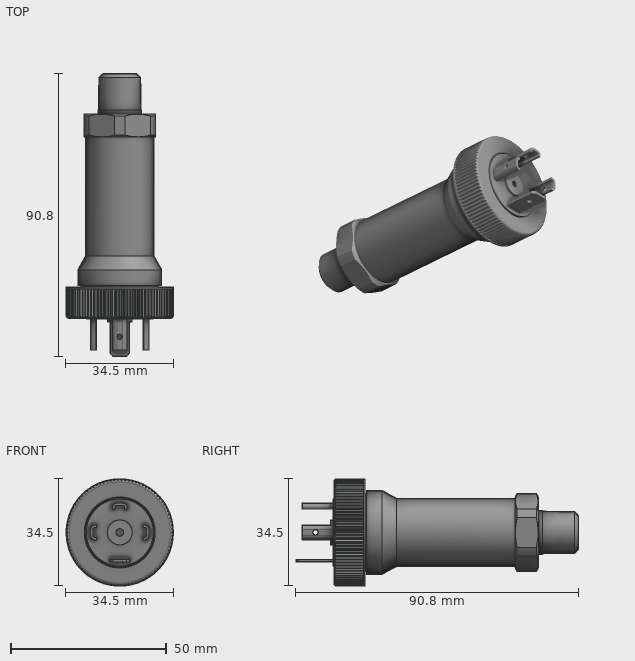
import cadquery as cq
import math

TOTAL_LENGTH = 90.85

BOSS_FACE_Y = 11.1
INSERT_FACE_Y = 11.9
CAP_FACE_Y = 12.2
KNURL_END_Y = 21.6
CAP_BACK_Y = 22.3
COLLAR_START_Y = 22.7
COLLAR_END_Y = 27.7
BODY_START_Y = 32.25
NUT_START_Y = 70.4
NUT_END_Y = 77.95
THREAD_START_Y = 79.2
PORT_CHAMFER_Y = 89.6

BOSS_DIAMETER = 8.0
BOSS_HOLE_DIAMETER = 2.45
BOSS_HOLE_DEPTH = 1.8
INSERT_DIAMETER = 21.5
CAP_BORE_DIAMETER = 22.3
CAP_BORE_DEPTH = 0.9
CAP_BORE_CHAMFER = 0.3
CAP_DIAMETER = 34.5
NECK_DIAMETER = 25.0
COLLAR_DIAMETER = 27.0
BODY_DIAMETER = 22.0
SHOULDER_DIAMETER = 14.1
THREAD_ROOT_DIAMETER = 13.7
THREAD_END_DIAMETER = 13.45
PORT_FACE_DIAMETER = 10.7

TOOTH_COUNT = 90
TOOTH_TIP_DIAMETER = 34.4
TOOTH_DEPTH = 0.45
TOOTH_LAND = 0.23
CAP_FILLET = 1.0

NUT_ACROSS_FLATS = 23.1
NUT_CORNER_DIAMETER = 25.0
NUT_END_DIAMETER = 22.6
NUT_CHAMFER_ANGLE = 30

CONTACT_REACH = 9.45
CONTACT_THICKNESS = 0.8
CONTACT_HOLE_DIAMETER = 1.6
CONTACT_HOLE_Y = 6.3
PIN_WIDTH = 4.7
PIN_DEPTH = 1.9
PIN_BEND_RADIUS = 1.45
PIN_TIP_Y = 2.0
PIN_ANGLES = (0, 90, 270)
BLADE_WIDTH = 6.3
BLADE_TIP_CHAMFER = 1.0
BLADE_HOLE_Y = 4.5


def turned(profile_points):
    """Revolve a closed (radius, y) outline about the Y axis."""
    return cq.Workplane("XY").polyline(profile_points).close().revolve(360, (0, 0, 0), (0, 1, 0))


def disc(diameter, start_y, end_y):
    """Solid cylinder on the Y axis."""
    return cq.Workplane("XZ", origin=(0, end_y, 0)).circle(diameter / 2).extrude(end_y - start_y)


def make_body():
    """Tapered port, shoulder, cylindrical body, flared collar and neck."""
    return turned([
        (0, CAP_BACK_Y),
        (NECK_DIAMETER / 2, CAP_BACK_Y),
        (NECK_DIAMETER / 2, COLLAR_START_Y),
        (COLLAR_DIAMETER / 2, COLLAR_START_Y),
        (COLLAR_DIAMETER / 2, COLLAR_END_Y),
        (BODY_DIAMETER / 2, BODY_START_Y),
        (BODY_DIAMETER / 2, NUT_END_Y),
        (SHOULDER_DIAMETER / 2, NUT_END_Y),
        (SHOULDER_DIAMETER / 2, THREAD_START_Y),
        (THREAD_ROOT_DIAMETER / 2, THREAD_START_Y),
        (THREAD_END_DIAMETER / 2, PORT_CHAMFER_Y),
        (PORT_FACE_DIAMETER / 2, TOTAL_LENGTH),
        (0, TOTAL_LENGTH),
    ])


def make_nut():
    """Hexagon with flats facing +X and -X, its corners turned round and chamfered at both ends."""
    corner_radius = NUT_CORNER_DIAMETER / 2
    end_radius = NUT_END_DIAMETER / 2
    chamfer_length = (corner_radius - end_radius) * math.tan(math.radians(NUT_CHAMFER_ANGLE))
    hexagon = (
        cq.Workplane("XZ", origin=(0, NUT_END_Y, 0))
        .polygon(6, NUT_ACROSS_FLATS, circumscribed=True)
        .extrude(NUT_END_Y - NUT_START_Y)
    )
    envelope = turned([
        (0, NUT_START_Y),
        (end_radius, NUT_START_Y),
        (corner_radius, NUT_START_Y + chamfer_length),
        (corner_radius, NUT_END_Y - chamfer_length),
        (end_radius, NUT_END_Y),
        (0, NUT_END_Y),
    ])
    return hexagon.intersect(envelope)


def make_cap():
    """Union nut with straight-knurled teeth, a plain rim at the back and a shallow bore around the insert."""
    tip_radius = TOOTH_TIP_DIAMETER / 2
    root_radius = tip_radius - TOOTH_DEPTH
    pitch_angle = 2 * math.pi / TOOTH_COUNT
    half_land_angle = TOOTH_LAND / 2 / tip_radius
    tooth_points = []
    for tooth in range(TOOTH_COUNT):
        tooth_angle = math.pi / 2 + tooth * pitch_angle
        for radius, angle in (
            (tip_radius, tooth_angle - half_land_angle),
            (tip_radius, tooth_angle + half_land_angle),
            (root_radius, tooth_angle + pitch_angle / 2),
        ):
            tooth_points.append((radius * math.cos(angle), radius * math.sin(angle)))
    knurl = (
        cq.Workplane("XZ", origin=(0, KNURL_END_Y, 0))
        .polyline(tooth_points)
        .close()
        .extrude(KNURL_END_Y - CAP_FACE_Y)
    )
    rounded_edge = disc(CAP_DIAMETER, CAP_FACE_Y, CAP_BACK_Y).faces("<Y").edges().fillet(CAP_FILLET)
    rim = disc(CAP_DIAMETER, KNURL_END_Y, CAP_BACK_Y)
    bore_radius = CAP_BORE_DIAMETER / 2
    bore = turned([
        (0, CAP_FACE_Y),
        (bore_radius + CAP_BORE_CHAMFER, CAP_FACE_Y),
        (bore_radius, CAP_FACE_Y + CAP_BORE_CHAMFER),
        (bore_radius, CAP_FACE_Y + CAP_BORE_DEPTH),
        (0, CAP_FACE_Y + CAP_BORE_DEPTH),
    ])
    return knurl.intersect(rounded_edge).union(rim).cut(bore)


def make_insert():
    """Contact carrier with a central boss and its blind hole."""
    carrier = disc(INSERT_DIAMETER, INSERT_FACE_Y, CAP_BACK_Y)
    boss = disc(BOSS_DIAMETER, BOSS_FACE_Y, CAP_BACK_Y)
    hole = disc(BOSS_HOLE_DIAMETER, BOSS_FACE_Y, BOSS_FACE_Y + BOSS_HOLE_DEPTH)
    return carrier.union(boss).cut(hole)


def contact_hole(y):
    """Cutter along Z for the hole through a contact."""
    return (
        cq.Workplane("XY", origin=(0, y, 0))
        .circle(CONTACT_HOLE_DIAMETER / 2)
        .extrude(CONTACT_REACH, both=True)
    )


def make_pin():
    """U-shaped contact above the axis, open toward it."""
    length = CAP_FACE_Y - PIN_TIP_Y
    inner_height = PIN_DEPTH - CONTACT_THICKNESS
    bottom_z = CONTACT_REACH - PIN_DEPTH
    channel = (
        cq.Workplane("XY")
        .box(PIN_WIDTH, length, PIN_DEPTH, centered=(True, False, False))
        .edges("|Y and >Z")
        .fillet(PIN_BEND_RADIUS)
    )
    hollow = (
        cq.Workplane("XY")
        .box(PIN_WIDTH - 2 * CONTACT_THICKNESS, length, inner_height, centered=(True, False, False))
        .edges("|Y and >Z")
        .fillet(PIN_BEND_RADIUS - CONTACT_THICKNESS)
    )
    return channel.cut(hollow).translate((0, PIN_TIP_Y, bottom_z)).cut(contact_hole(CONTACT_HOLE_Y))


def make_blade():
    """Flat earth contact below the axis with its tip corners cut off."""
    return (
        cq.Workplane("XY", origin=(0, 0, -CONTACT_REACH))
        .box(BLADE_WIDTH, CAP_FACE_Y, CONTACT_THICKNESS, centered=(True, False, False))
        .edges("|Z and <Y")
        .chamfer(BLADE_TIP_CHAMFER)
        .cut(contact_hole(BLADE_HOLE_Y))
    )


result = make_body().union(make_nut()).union(make_cap()).union(make_insert()).union(make_blade())
for pin_angle in PIN_ANGLES:
    result = result.union(make_pin().rotate((0, 0, 0), (0, 1, 0), pin_angle))